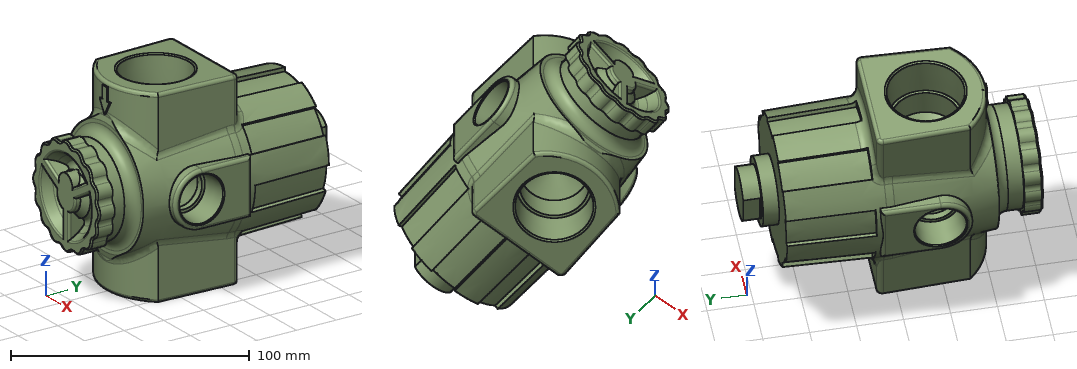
import cadquery as cq
import math


rear_y = 65.2
rear_radius = 33.0
bend_y = 20.9
bend_radius = 34.4
bend_rounding = 25.0
shoulder_y = -25.9
shoulder_radius = 29.3
shoulder_slope_radius = 31.9
rear_slope = (bend_radius - rear_radius) / (rear_y - bend_y)
front_slope = (bend_radius - shoulder_radius) / (bend_y - shoulder_y)

recess_count = 8
recess_angle = 180 / recess_count
recess_depth = 1.9
recess_front_y = 27.2
recess_clearance = 3.8

block_half_height = 47.51
block_rear_y = 25.3
block_rear_half_width = 25.1
block_corner_y = -14.6
block_corner_half_width = 23.5
block_front_y = -25.3
block_rear_corner = 2.5
outer_edge_rounding = 1.6
block_clearance = 0.03
root_fillet = 5.0

boss_reach = 34.5
boss_half_width = 13.8

arrow_top_z = 45.6
arrow_barb_z = 39.0
arrow_tip_z = 32.5
arrow_shaft_half = 1.8
arrow_head_half = 3.69
arrow_height = 0.6

block_port_mouth_radius = 17.3
block_port_radius = 16.4
block_port_ledge_radius = 15.9
block_port_drill_radius = 14.5
block_port_ledge_z = 30.7
block_port_tip_z = 10.0
boss_port_mouth_radius = 11.5
boss_port_radius = 11.0
boss_port_ledge_radius = 10.5
boss_port_drill_radius = 9.0
boss_port_ledge_x = 21.3
boss_port_tip_x = 12.5
port_chamfer_depth = 0.5
drill_point_angle = 118

neck_radius = 22.5
neck_front_y = -37.5
knob_rear_y = shoulder_y - root_fillet
knob_front_y = -45.6
lobe_count = 16
lobe_peak_radius = 25.2
lobe_valley_radius = 23.7
lobe_peak_share = 2 / 3
knob_edge_chamfer = 0.8
window_rounding = 1.0

bowl_rim = (19.5, 0)
bowl_wall = (16.8, 4.9)
bowl_foot = (14.1, 7.5)
bowl_floor = (12.9, 7.9)
bowl_dome = (10.5, 5.4)
hub_foot = (7.4, 2.6)
hub_rim = (6.9, 0)
hub_lobe_radius = 5.1
hub_lobe_z = 5.5
spoke_count = 3
spoke_width = 4.8

collar_radius = 15.0
collar_rear_y = 72.0
stem_radius = 11.58
stem_rear_y = 79.6
stem_flat_half = 9.8
stem_flat_y = 72.6

AXIS_START = (0, 0, 0)
Y_AXIS = (0, 1, 0)


def rear_cone_radius(y):
    return bend_radius - rear_slope * (y - bend_y)


def front_cone_radius(y):
    return bend_radius - front_slope * (bend_y - y)


def turned(profile, angle=360):
    """Closed (radius, y) profile turned about Y, starting at +X and turning towards -Z."""
    return profile.close().revolve(angle, AXIS_START, Y_AXIS)


def disc(radius, front_y, rear_y_end):
    """Round disc on the Y axis between two Y positions."""
    return cq.Workplane("XZ", origin=(0, rear_y_end, 0)).circle(radius).extrude(rear_y_end - front_y)


def make_core(front_y):
    """Double cone with a rounded bend between its halves."""
    turn = math.atan(rear_slope) + math.atan(front_slope)
    tangent = bend_rounding * math.tan(turn / 2)
    bend_rear = bend_y + tangent
    bend_front = bend_y - tangent
    profile = (
        cq.Workplane("XY")
        .moveTo(0, front_y)
        .lineTo(front_cone_radius(front_y), front_y)
        .lineTo(front_cone_radius(bend_front), bend_front)
        .tangentArcPoint((rear_cone_radius(bend_rear), bend_rear), relative=False)
        .lineTo(rear_radius, rear_y)
        .lineTo(0, rear_y)
    )
    return turned(profile)


def make_block():
    """Tapered block with a bowed front, running through the core along Z."""
    block = (
        cq.Workplane("XY")
        .workplane(offset=-block_half_height)
        .moveTo(-block_rear_half_width, block_rear_y)
        .lineTo(-block_corner_half_width, block_corner_y)
        .threePointArc((0, block_front_y), (block_corner_half_width, block_corner_y))
        .lineTo(block_rear_half_width, block_rear_y)
        .close()
        .extrude(2 * block_half_height)
    )
    block = block.edges("|Z").edges(">Y").fillet(block_rear_corner)
    return block.faces("<Z or >Z").edges().fillet(outer_edge_rounding)


def is_block_root(edge):
    """True for the edges where the block leaves the core: off the middle, but short of the block ends."""
    box = edge.BoundingBox()
    lowest = min(abs(box.zmin), abs(box.zmax))
    highest = max(abs(box.zmin), abs(box.zmax))
    same_side = box.zmin * box.zmax > 0
    return same_side and lowest > boss_half_width and highest < bend_radius + root_fillet


def make_bosses():
    """Round-ended bosses on both sides, as one bar through the core."""
    bar = (
        cq.Workplane("YZ")
        .workplane(offset=-boss_reach)
        .moveTo(block_rear_y, boss_half_width)
        .lineTo(0, boss_half_width)
        .threePointArc((-boss_half_width, 0), (0, -boss_half_width))
        .lineTo(block_rear_y, -boss_half_width)
        .close()
        .extrude(2 * boss_reach)
    )
    return bar.faces("<X or >X").edges().fillet(outer_edge_rounding)


def make_recesses():
    """Sector-shaped cutters that leave evenly spaced flats of lower radius on the rear cone."""
    overrun_y = rear_y + 1.3
    reach = rear_cone_radius(recess_front_y) + recess_clearance
    floor_front = rear_cone_radius(recess_front_y) - recess_depth
    floor_rear = rear_cone_radius(overrun_y) - recess_depth
    profile = cq.Workplane("XY").polyline(
        [(floor_front, recess_front_y), (reach, recess_front_y), (reach, overrun_y), (floor_rear, overrun_y)]
    )
    cutter = turned(profile, recess_angle)
    pitch = 360 / recess_count
    return [cutter.rotate(AXIS_START, Y_AXIS, i * pitch) for i in range(recess_count)]


def make_arrow():
    """Raised arrow on the front of the block, pointing down."""
    arrow_front_y = block_front_y - arrow_height
    return (
        cq.Workplane("XZ", origin=(0, arrow_front_y, 0))
        .polyline(
            [
                (-arrow_shaft_half, arrow_top_z),
                (arrow_shaft_half, arrow_top_z),
                (arrow_shaft_half, arrow_barb_z),
                (arrow_head_half, arrow_barb_z),
                (0, arrow_tip_z),
                (-arrow_head_half, arrow_barb_z),
                (-arrow_shaft_half, arrow_barb_z),
            ]
        )
        .close()
        .extrude(-2 * arrow_height)
    )


def make_port(mouth, chamfer_end, ledge, drill, face, ledge_height, tip_height):
    """Cutter for one port along +Z, from its mouth down to a drill point."""
    point_height = drill / math.tan(math.radians(drill_point_angle / 2))
    profile = [
        (0, tip_height),
        (drill, tip_height + point_height),
        (drill, ledge_height),
        (ledge, ledge_height),
        (chamfer_end, face - port_chamfer_depth),
        (mouth, face),
        (0, face),
    ]
    return cq.Workplane("XZ").polyline(profile).close().revolve(360, AXIS_START, Y_AXIS)


def make_ports():
    """Cutters for the ports at both ends of Z and of X."""
    block_port = make_port(
        block_port_mouth_radius,
        block_port_radius,
        block_port_ledge_radius,
        block_port_drill_radius,
        block_half_height,
        block_port_ledge_z,
        block_port_tip_z,
    )
    boss_port = make_port(
        boss_port_mouth_radius,
        boss_port_radius,
        boss_port_ledge_radius,
        boss_port_drill_radius,
        boss_reach,
        boss_port_ledge_x,
        boss_port_tip_x,
    )
    turns = ((block_port, 0), (boss_port, 90), (block_port, 180), (boss_port, 270))
    return [port.rotate(AXIS_START, Y_AXIS, angle) for port, angle in turns]


def make_front_trim():
    """Cutter that ends the core at the shoulder and slopes the root fillet back from its edge."""
    reach = 2 * block_half_height
    trim_front_y = shoulder_y - 3 * root_fillet
    slope_end_y = block_front_y - block_clearance
    profile = cq.Workplane("XY").polyline(
        [
            (0, trim_front_y),
            (0, shoulder_y),
            (shoulder_radius, shoulder_y),
            (shoulder_slope_radius, slope_end_y),
            (reach, slope_end_y),
            (reach, trim_front_y),
        ]
    )
    return turned(profile)


def make_neck():
    """Concave flare from the shoulder down to the seat of the knob."""
    centre_radius = neck_radius + root_fillet
    mid = root_fillet * math.sqrt(0.5)
    profile = (
        cq.Workplane("XY")
        .moveTo(0, shoulder_y)
        .lineTo(centre_radius, shoulder_y)
        .threePointArc((centre_radius - mid, knob_rear_y + mid), (neck_radius, knob_rear_y))
        .lineTo(0, knob_rear_y)
    )
    return turned(profile)


def make_housing():
    body = make_core(shoulder_y - 2 * root_fillet).union(make_block())
    roots = [edge for edge in body.edges().vals() if is_block_root(edge)]
    body = body.newObject(roots).fillet(root_fillet)
    body = body.cut(make_front_trim())
    for recess in make_recesses():
        body = body.cut(recess)
    body = body.union(make_bosses()).union(make_arrow()).union(make_neck())
    for port in make_ports():
        body = body.cut(port)
    return body


def polar(radius, angle):
    return (radius * math.sin(angle), radius * math.cos(angle))


def make_grip():
    """Disc with a wavy rim made of alternating arcs, one lobe at +Z."""
    pitch = 2 * math.pi / lobe_count
    peak_half = lobe_peak_share * pitch / 2
    valley_half = pitch / 2 - peak_half
    joint_radius = lobe_peak_radius - lobe_peak_share * (lobe_peak_radius - lobe_valley_radius)
    rim = cq.Workplane("XZ", origin=(0, neck_front_y, 0)).moveTo(*polar(joint_radius, -peak_half))
    for i in range(lobe_count):
        peak = i * pitch
        rim = rim.threePointArc(polar(lobe_peak_radius, peak), polar(joint_radius, peak + peak_half))
        valley = peak + pitch / 2
        rim = rim.threePointArc(polar(lobe_valley_radius, valley), polar(joint_radius, valley + valley_half))
    grip = rim.close().extrude(neck_front_y - knob_front_y)
    return grip.faces("<Y").chamfer(knob_edge_chamfer)


def at_depth(point):
    radius, depth = point
    return (radius, knob_front_y + depth)


def make_bowl():
    """Ring-shaped hollow in the knob face, around the hub."""
    profile = (
        cq.Workplane("XY")
        .moveTo(*at_depth(bowl_rim))
        .lineTo(*at_depth(bowl_wall))
        .lineTo(*at_depth(bowl_foot))
        .threePointArc(at_depth(bowl_floor), at_depth(bowl_dome))
        .lineTo(*at_depth(hub_foot))
        .lineTo(*at_depth(hub_rim))
    )
    return turned(profile)


def make_spokes():
    """Straight spokes from the hub to the rim, the first along -Z."""
    depth = knob_rear_y - knob_front_y
    spoke = (
        cq.Workplane("XY")
        .box(spoke_width, depth, neck_radius, centered=(True, False, False))
        .translate((0, knob_front_y, -neck_radius))
    )
    pitch = 360 / spoke_count
    return [spoke.rotate(AXIS_START, Y_AXIS, i * pitch) for i in range(spoke_count)]


def make_knob():
    """Wavy grip on a plain neck, with a spoked bowl in its face and a lobe on its hub."""
    neck = disc(neck_radius, neck_front_y, knob_rear_y)
    hub_lobe = disc(hub_lobe_radius, knob_front_y, knob_rear_y).translate((0, 0, hub_lobe_z))
    windows = make_bowl()
    for spoke in make_spokes():
        windows = windows.cut(spoke)
    body = make_grip().union(neck).cut(windows)
    rims = [wire.Edges() for wire in body.faces("<Y").val().innerWires()]
    body = body.newObject([edge for rim in rims for edge in rim]).fillet(window_rounding)
    return body.union(hub_lobe)


def make_collar():
    return disc(collar_radius, rear_y, collar_rear_y)


def make_stem():
    """Round stub with a flat on each X side of its end."""
    stub = disc(stem_radius, collar_rear_y, stem_rear_y)
    flat_length = stem_rear_y - stem_flat_y
    waist = cq.Workplane("XY").box(2 * stem_flat_half, flat_length, 3 * stem_radius)
    slab = cq.Workplane("XY").box(3 * stem_radius, flat_length, 3 * stem_radius)
    flats = slab.cut(waist).translate((0, stem_flat_y + flat_length / 2, 0))
    return stub.cut(flats)


housing = make_housing()
knob = make_knob()
collar = make_collar()
stem = make_stem()

result = cq.Compound.makeCompound([housing.val(), knob.val(), collar.val(), stem.val()])